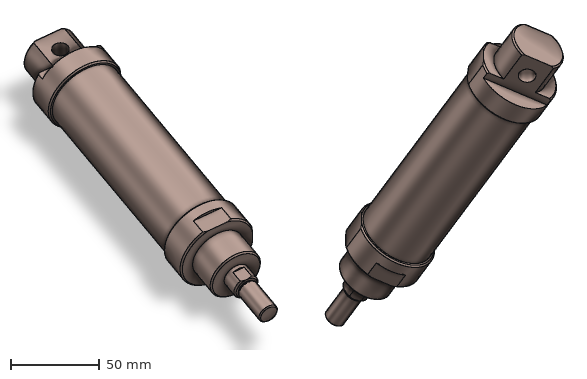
import cadquery as cq


LENGTH = 236.0

CAP_RADIUS = 24.5
PORT_FLAT_Y = 23.4
BOSS_RADIUS = 16.8
EDGE_CHAMFER = 1.0

REAR_FLANGE_START = 21.7
TANG_END = 26.7
REAR_CAP_END = 40.1
TANG_HALF_THICKNESS = 13.2
PIVOT_HOLE_X = 13.0
PIVOT_HOLE_RADIUS = 5.0

BARREL_RADIUS = 22.5

FRONT_CAP_START = 162.5
WRENCH_FLAT_START = 170.5
FRONT_FLANGE_END = 181.2
NOSE_END = 201.0
WRENCH_FLAT_HALF_SPAN = 22.7

ROD_RADIUS = 8.0
ROD_FLAT_START = 203.7
ROD_FLAT_HALF_SPAN = 7.0
ROD_SHOULDER = 212.5
RELIEF_END = 213.5
RELIEF_RADIUS = 5.5
THREAD_RADIUS = 6.1
THREAD_CHAMFER = 0.7


def cylinder(start, end, radius):
    """Round bar along X between two stations."""
    return cq.Workplane("YZ", origin=(start, 0, 0)).circle(radius).extrude(end - start)


def block(x_range, y_range, z_range):
    """Rectangular block given by its limits along each axis."""
    sizes = [high - low for low, high in (x_range, y_range, z_range)]
    corner = (x_range[0], y_range[0], z_range[0])
    return cq.Workplane("XY").box(*sizes, centered=False).translate(corner)


def cut_z_flats(body, start, end, half_span, radius):
    """Cut a pair of flats at Z = +/- half_span into a round body of the given radius."""
    for low, high in ((half_span, radius), (-radius, -half_span)):
        body = body.cut(block((start, end), (-radius, radius), (low, high)))
    return body


def cut_port_flat(cap, start, end):
    """Trim the +Y side of a cap flange to a flat."""
    return cap.cut(block((start, end), (PORT_FLAT_Y, CAP_RADIUS), (-CAP_RADIUS, CAP_RADIUS)))


def make_rear_cap():
    flange = cylinder(REAR_FLANGE_START, REAR_CAP_END, CAP_RADIUS).edges("%CIRCLE").chamfer(EDGE_CHAMFER)
    boss = cylinder(0, REAR_FLANGE_START, BOSS_RADIUS).faces("<X").chamfer(EDGE_CHAMFER)
    cap = cut_port_flat(flange.union(boss), REAR_FLANGE_START, REAR_CAP_END)
    cap = cut_z_flats(cap, 0, TANG_END, TANG_HALF_THICKNESS, CAP_RADIUS)
    pivot_hole = (
        cq.Workplane("XY")
        .center(PIVOT_HOLE_X, 0)
        .circle(PIVOT_HOLE_RADIUS)
        .extrude(TANG_HALF_THICKNESS, both=True)
    )
    return cap.cut(pivot_hole)


def make_barrel():
    return cylinder(REAR_CAP_END, FRONT_CAP_START, BARREL_RADIUS)


def make_front_cap():
    flange = cylinder(FRONT_CAP_START, FRONT_FLANGE_END, CAP_RADIUS).edges("%CIRCLE").chamfer(EDGE_CHAMFER)
    nose = cylinder(FRONT_FLANGE_END, NOSE_END, BOSS_RADIUS).faces(">X").chamfer(EDGE_CHAMFER)
    cap = cut_port_flat(flange.union(nose), FRONT_CAP_START, FRONT_FLANGE_END)
    return cut_z_flats(cap, WRENCH_FLAT_START, FRONT_FLANGE_END, WRENCH_FLAT_HALF_SPAN, CAP_RADIUS)


def make_rod():
    shank = cylinder(NOSE_END, ROD_SHOULDER, ROD_RADIUS).faces(">X").chamfer(EDGE_CHAMFER)
    shank = cut_z_flats(shank, ROD_FLAT_START, ROD_SHOULDER, ROD_FLAT_HALF_SPAN, ROD_RADIUS)
    relief = cylinder(ROD_SHOULDER, RELIEF_END, RELIEF_RADIUS)
    thread = cylinder(RELIEF_END, LENGTH, THREAD_RADIUS).faces(">X").chamfer(THREAD_CHAMFER)
    return shank.union(relief).union(thread)


rear_cap = make_rear_cap()
barrel = make_barrel()
front_cap = make_front_cap()
rod = make_rod()

result = cq.Compound.makeCompound([rear_cap.val(), barrel.val(), front_cap.val(), rod.val()])